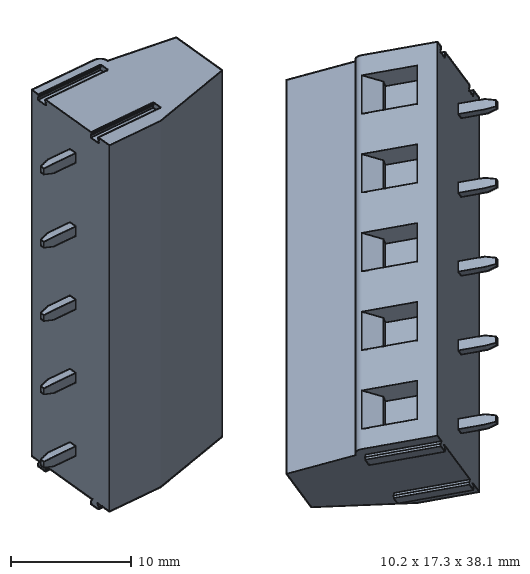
import cadquery as cq


total_height = 38.1
pole_count = 5
pole_pitch = 7.5
housing_height = pole_count * pole_pitch
housing_width = 10.2
housing_depth = 14.02
shoulder_y = 7.5
shoulder_radius = 0.8
wire_face_top = shoulder_y - shoulder_radius
back_face_top = 5.5
crown_left = 1.83
crown_right = 7.9

rail_centers = (1.35, 8.25)
rail_length = wire_face_top
rail_root_width = 0.7
rail_foot_width = 1.0
rail_flank_width = 1.03
rail_height = total_height - housing_height
rail_foot_thickness = 0.23
groove_mouth_width = 0.95
groove_lip_depth = 0.15

entry_bottom = 1.8
entry_height = 3.65
entry_depth = 1.5
entry_floor_height = 2.55
entry_floor_bottom = 2.2
entry_floor_top = 5.15
ramp_depth = 1.0

pin_x = 5.4
pin_width = 0.75
pin_thickness = 1.0
pin_length = 3.28
pin_shank_length = 2.35
pin_tip_width = 0.42
pin_tip_thickness = 0.6

pole_levels = [(pole + 0.5) * pole_pitch for pole in range(pole_count)]


def make_housing():
    """Cross-section with a rounded shoulder and a narrowing crown, extruded over all poles."""
    shoulder_center = (shoulder_radius, wire_face_top)
    diagonal = shoulder_radius * 0.5**0.5
    return (
        cq.Workplane("XY")
        .moveTo(0, 0)
        .lineTo(0, wire_face_top)
        .threePointArc(
            (shoulder_center[0] - diagonal, shoulder_center[1] + diagonal),
            (shoulder_radius, shoulder_y),
        )
        .lineTo(crown_left, housing_depth)
        .lineTo(crown_right, housing_depth)
        .lineTo(housing_width, back_face_top)
        .lineTo(housing_width, 0)
        .close()
        .extrude(housing_height)
    )


def make_rail(center_x, root_z):
    """Dovetail bar hanging from root_z: flared sides, then a slightly narrowing foot."""
    foot_z = -rail_height
    flare_end_z = foot_z + rail_foot_thickness
    return (
        cq.Workplane("XZ", origin=(center_x, 0, root_z))
        .polyline([
            (-rail_root_width / 2, 0),
            (-rail_flank_width / 2, flare_end_z),
            (-rail_foot_width / 2, foot_z),
            (rail_foot_width / 2, foot_z),
            (rail_flank_width / 2, flare_end_z),
            (rail_root_width / 2, 0),
        ])
        .close()
        .extrude(-rail_length)
    )


def make_groove(center_x):
    """Rail-shaped groove in the top face, with bevelled lips along its mouth."""
    mouth = (
        cq.Workplane("XZ", origin=(center_x, 0, housing_height))
        .polyline([
            (-groove_mouth_width / 2, 0),
            (-rail_root_width / 2, -groove_lip_depth),
            (rail_root_width / 2, -groove_lip_depth),
            (groove_mouth_width / 2, 0),
        ])
        .close()
        .extrude(-rail_length)
    )
    return make_rail(center_x, housing_height).union(mouth)


def make_wire_entry(level):
    """Funnel-shaped recess in the -X face with a ramp and a small step on its +Y side."""
    plan = (
        cq.Workplane("XY", origin=(0, 0, level - entry_height / 2))
        .polyline([
            (0, entry_bottom),
            (0, wire_face_top),
            (ramp_depth, entry_floor_top),
            (entry_depth, entry_floor_top),
            (entry_depth, entry_floor_bottom),
        ])
        .close()
        .extrude(entry_height)
    )
    taper = (
        cq.Workplane("XZ", origin=(0, 0, level))
        .polyline([
            (0, -entry_height / 2),
            (0, entry_height / 2),
            (entry_depth, entry_floor_height / 2),
            (entry_depth, -entry_floor_height / 2),
        ])
        .close()
        .extrude(-housing_depth)
    )
    return plan.intersect(taper)


def make_pin(level):
    """Rectangular pin on the front face, ending in a tapered tip."""
    shank = (
        cq.Workplane("XZ", origin=(pin_x, 0, level))
        .rect(pin_width, pin_thickness)
        .extrude(pin_shank_length)
    )
    tip = (
        cq.Workplane("XZ", origin=(pin_x, -pin_shank_length, level))
        .rect(pin_width, pin_thickness)
        .workplane(offset=pin_length - pin_shank_length)
        .rect(pin_tip_width, pin_tip_thickness)
        .loft()
    )
    return shank.union(tip)


result = make_housing()

for rail_x in rail_centers:
    result = result.cut(make_groove(rail_x))
    result = result.union(make_rail(rail_x, 0))

for pole_level in pole_levels:
    result = result.cut(make_wire_entry(pole_level))
    result = result.union(make_pin(pole_level))